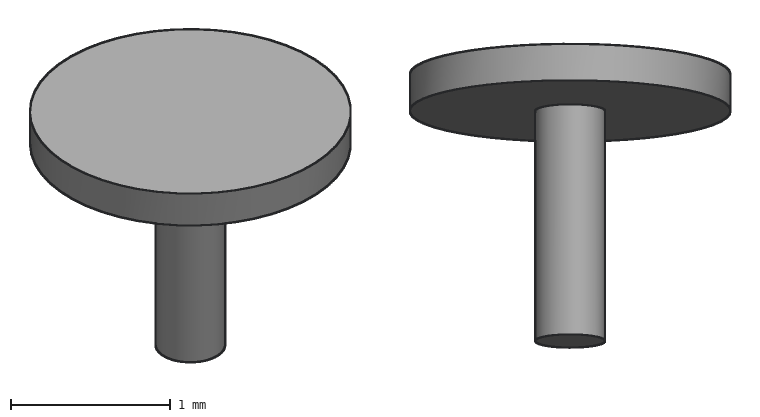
import cadquery as cq

disc_diameter = 2.01
disc_thickness = 0.233
pin_diameter = 0.438
total_height = 1.7

pin_length = total_height - disc_thickness

pin = cq.Workplane("XY").circle(pin_diameter / 2).extrude(pin_length)

head = (
    cq.Workplane("XY")
    .workplane(offset=pin_length)
    .circle(disc_diameter / 2)
    .extrude(disc_thickness)
)

result = pin.union(head)